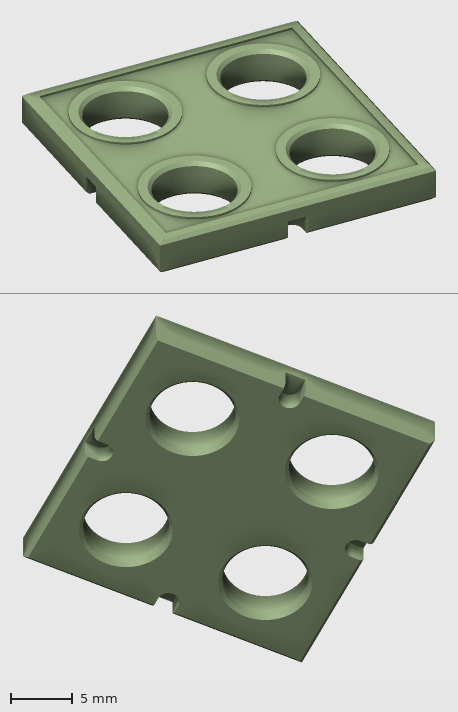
import cadquery as cq

side = 25.0
thickness = 3.12
edge_chamfer = 0.3

rim_width = 1.05
panel_depth = 0.2
panel_side = side - 2 * rim_width

hole_pitch = side / 2
hole_diameter = 7.0
ring_diameter = 9.2
hole_chamfer = 0.3

notch_width = 1.8
notch_height = 1.8
notch_length = 2.0


def make_plate():
    """Plate centred on Z, with its long top and bottom edges chamfered."""
    plate = cq.Workplane("XY").box(side, side, thickness, centered=(True, True, False))
    return plate.faces("<Z or >Z").edges().chamfer(edge_chamfer)


def at_hole_centres(height):
    """Workplane at the given height with a point at every hole centre."""
    return cq.Workplane("XY", origin=(0, 0, height)).rarray(hole_pitch, hole_pitch, 2, 2)


def make_panel_recess():
    """Material removed around the rings to leave the rim and rings standing."""
    panel_floor = thickness - panel_depth
    floor_plane = cq.Workplane("XY", origin=(0, 0, panel_floor))
    recess = floor_plane.rect(panel_side, panel_side).extrude(panel_depth)
    rings = at_hole_centres(panel_floor).circle(ring_diameter / 2).extrude(panel_depth)
    return recess.cut(rings)


def make_holes():
    """Through holes widened by a chamfer at the top and bottom faces."""
    hole_radius = hole_diameter / 2
    mouth_radius = hole_radius + hole_chamfer
    profile = (
        cq.Workplane("XZ")
        .moveTo(0, 0)
        .lineTo(mouth_radius, 0)
        .lineTo(hole_radius, hole_chamfer)
        .lineTo(hole_radius, thickness - hole_chamfer)
        .lineTo(mouth_radius, thickness)
        .lineTo(0, thickness)
        .close()
    )
    hole = profile.revolve(360, (0, 0, 0), (0, 1, 0)).val()
    return at_hole_centres(0).eachpoint(lambda place: hole.moved(place))


def make_notch(angle):
    """Notch running in from the side of the plate that faces the given angle."""
    side_middle = cq.Workplane("XY").center(side / 2, 0)
    notch = side_middle.slot2D(2 * notch_length, notch_width).extrude(notch_height)
    return notch.rotate((0, 0, 0), (0, 0, 1), angle)


result = make_plate().cut(make_panel_recess()).cut(make_holes())
for angle in (0, 90, 180, 270):
    result = result.cut(make_notch(angle))